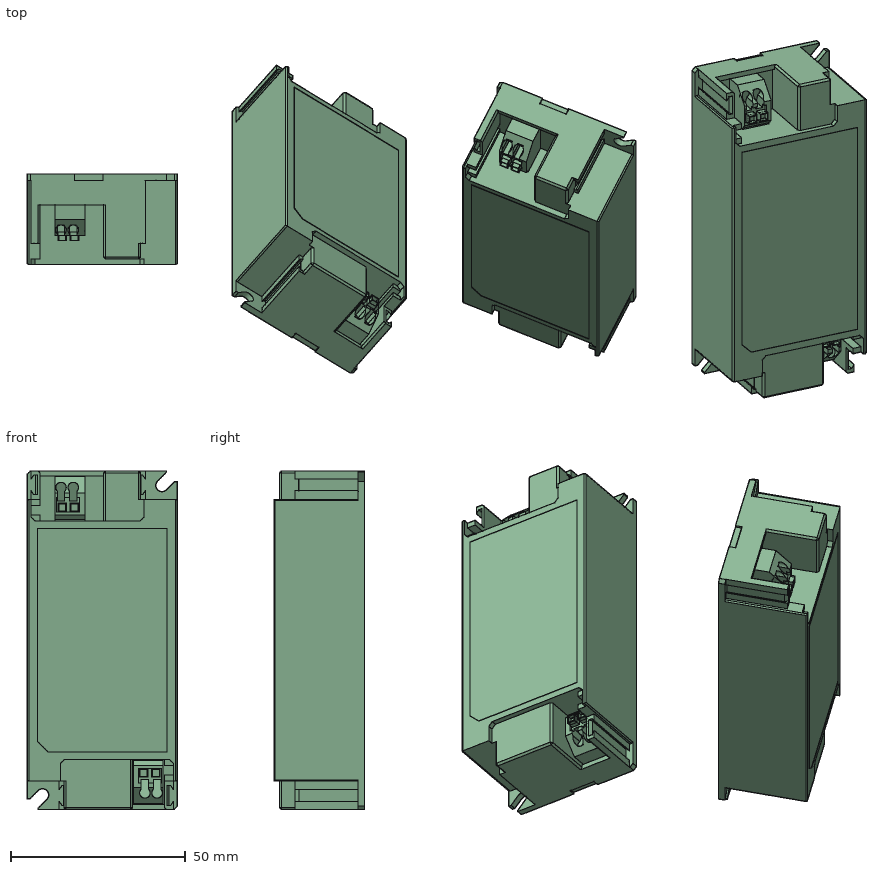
import cadquery as cq

WIDTH = 43.0
DEPTH = 26.0
LENGTH = 97.0
BACK_Y = DEPTH / 2
FRONT_Y = -DEPTH / 2
END_Z = LENGTH / 2
SIDE_X = WIDTH / 2

PLATE_THICKNESS = 1.9
PLATE_FRONT_Y = BACK_Y - PLATE_THICKNESS
PLATE_CORNER = 1.0
BODY_END_Z = 40.3
BODY_EDGE_X = 0.55
BODY_EDGE_Y = BODY_EDGE_X / 2
BODY_END_BEVEL_X = 0.5
BODY_END_BEVEL_Z = 0.25

SLOT_WIDTH = 3.5
SLOT_X = 17.1
SLOT_Z = 44.3
SLOT_REACH = 12.0
SLOT_TILT = -45
SLOT_MOUTH_CUT = 3.1

NOTCH_X = (-8.0, 0.25)
NOTCH_DEPTH = 0.6

TOWER_X = (-20.4, 12.35)
TOWER_FRONT_Y = -6.95
BLOCK_RIGHT_X = 11.0
BLOCK_FRONT_Y = -11.4
BLOCK_EDGE = 0.6

BAY_LEFT_X = -17.8
BAY_RIM_EDGE = 0.6
BAY_BACK_Y = 4.1
BAY_FLOOR_Z = 34.1
LIP_HEIGHT = 1.5
LIP_UNDERCUT = 1.0

FRAME_X = (-20.4, 12.0)
FRAME_CORNER = 1.2

TONGUE_BOTTOM_Z = 38.6
CORNER_BLOCK_TOP_Z = 35.8

GROOVE_CENTER_Z = 44.45
GROOVE_MOUTH = 3.3
GROOVE_FLOOR = 5.6
GROOVE_UNDERCUT_DEPTH = 0.8
GROOVE_DEPTH = 1.3
GROOVE_END_DEPTH = 1.9
GROOVE_RAMP = 1.1

TERMINAL_WIDTH = 8.5
TERMINAL_TOP_Z = 46.8
TERMINAL_SLOPE_Y = -0.1
TERMINAL_FACE_Y = -4.7
TERMINAL_FACE_Z = (35.8, 42.1)
TERMINAL_BOTTOM_Z = 34.5
TERMINAL_CHIN_Y = -3.4
POLE_COUNT = 2
POLE_PITCH = 3.5
RELEASE_OFFSET_X = 1.7
RELEASE_RADIUS = 1.5
RELEASE_Z = 43.7
RELEASE_SLOT_WIDTH = 2.1
RELEASE_SLOT_BOTTOM_Z = 39.9
RELEASE_TOP_Y = -1.7
RELEASE_BACK_Y = 0.5
RECESS_X = (0.4, 7.0)
RECESS_Z = (36.7, 40.9)
RECESS_DEPTH = 1.0
ENTRY_OFFSET_X = 2.05
ENTRY_SIZE = 2.5
ENTRY_BORE = 2.0
ENTRY_FRONT_Y = -6.1
ENTRY_BORE_DEPTH = 1.4

UPPER_BAY_RIGHT_X = 0.4
LOWER_BAY_RIGHT_X = -8.7
UPPER_TERMINAL_X = -13.5
LOWER_TERMINAL_X = -17.4

LABEL_X = (-18.5, 18.5)
LABEL_Z = (-32.0, 32.0)
LABEL_CUT = 3.0
LABEL_DEPTH = 0.1


def box(x_range, y_range, z_range):
    """Box spanning three (low, high) ranges."""
    spans = (x_range, y_range, z_range)
    sizes = [high - low for low, high in spans]
    corner = tuple(low for low, high in spans)
    return cq.Workplane("XY").box(*sizes, centered=False).translate(corner)


def prism_along_y(outline, y_range):
    """Extrude an (x, z) outline between two Y positions."""
    front, back = y_range
    plane = cq.Workplane("XZ", origin=(0, back, 0))
    return plane.polyline(outline).close().extrude(back - front)


def half_turn(shape):
    """Turn an upper-end feature round the Y axis onto the lower end."""
    return shape.rotate((0, 0, 0), (0, 1, 0), 180)


def main_body():
    bevel_x = SIDE_X - BODY_END_BEVEL_X
    bevel_z = BODY_END_Z - BODY_END_BEVEL_Z
    outline = [
        (-bevel_x, BODY_END_Z),
        (bevel_x, BODY_END_Z),
        (SIDE_X, bevel_z),
        (SIDE_X, -bevel_z),
        (bevel_x, -BODY_END_Z),
        (-bevel_x, -BODY_END_Z),
        (-SIDE_X, -bevel_z),
        (-SIDE_X, bevel_z),
    ]
    body = prism_along_y(outline, (FRONT_Y, BACK_Y))
    return body.edges("|Z and <Y").chamfer(BODY_EDGE_Y, BODY_EDGE_X)


def mounting_plate():
    plate = box((-SIDE_X, SIDE_X), (PLATE_FRONT_Y, BACK_Y), (-END_Z, END_Z))
    plate = plate.edges("|Y").chamfer(PLATE_CORNER)
    slot = foot_slot()
    return plate.cut(slot).cut(half_turn(slot))


def foot_slot():
    y_range = (PLATE_FRONT_Y, BACK_Y)
    radius = SLOT_WIDTH / 2
    round_end = cq.Workplane("XZ", origin=(0, BACK_Y, 0)).circle(radius).extrude(PLATE_THICKNESS)
    throat = box((0, SLOT_REACH), y_range, (-radius, radius))
    slot = round_end.union(throat).rotate((0, 0, 0), (0, 1, 0), SLOT_TILT)
    slot = slot.translate((SLOT_X, 0, SLOT_Z))
    mouth = box((SIDE_X - SLOT_MOUTH_CUT, SIDE_X), y_range, (END_Z - SLOT_MOUTH_CUT, END_Z))
    return slot.union(mouth)


def clip_groove(wall_x, inward):
    """Dovetail groove along Y whose floor ramps deeper at its open front end."""
    def outline(floor_depth):
        half_mouth = GROOVE_MOUTH / 2
        half_floor = GROOVE_FLOOR / 2
        corners = [
            (0, half_mouth),
            (GROOVE_UNDERCUT_DEPTH, half_floor),
            (floor_depth, half_floor),
            (floor_depth, -half_floor),
            (GROOVE_UNDERCUT_DEPTH, -half_floor),
            (0, -half_mouth),
        ]
        return [(wall_x + inward * depth, GROOVE_CENTER_Z + height) for depth, height in corners]

    groove = prism_along_y(outline(GROOVE_DEPTH), (TOWER_FRONT_Y, PLATE_FRONT_Y))
    ramp_profile = [
        (wall_x + inward * GROOVE_DEPTH, TOWER_FRONT_Y + GROOVE_RAMP),
        (wall_x + inward * GROOVE_DEPTH, TOWER_FRONT_Y),
        (wall_x + inward * GROOVE_END_DEPTH, TOWER_FRONT_Y),
    ]
    ramp_plane = cq.Workplane("XY", origin=(0, 0, GROOVE_CENTER_Z - GROOVE_FLOOR / 2))
    ramp = ramp_plane.polyline(ramp_profile).close().extrude(GROOVE_FLOOR)
    return groove.union(ramp)


def end_tower():
    """Tower behind and beside the bay, with a clip groove in each side."""
    tower = box(TOWER_X, (TOWER_FRONT_Y, BACK_Y), (BAY_FLOOR_Z, END_Z))
    left_x, right_x = TOWER_X
    return tower.cut(clip_groove(left_x, 1)).cut(clip_groove(right_x, -1))


def tower_block(bay_right_x):
    """Solid block that closes the bay on its right and stands forward of the tower."""
    y_range = (BLOCK_FRONT_Y, BAY_BACK_Y + LIP_UNDERCUT)
    block = box((bay_right_x, BLOCK_RIGHT_X), y_range, (BAY_FLOOR_Z, END_Z))
    return block.edges("(<Y and (<X or >X or >Z)) or (>Z and (<X or >X))").chamfer(BLOCK_EDGE)


def frame_recess():
    recess = box(FRAME_X, (FRONT_Y, BLOCK_FRONT_Y), (BAY_FLOOR_Z, BODY_END_Z))
    return recess.edges("|Y and <Z").chamfer(FRAME_CORNER)


def wiring_bay(bay_right_x):
    """Space for the terminal and the bevelled side of the block, with a window under the left wall."""
    x_range = (BAY_LEFT_X, bay_right_x + BLOCK_EDGE)
    undercut_y = BAY_BACK_Y + LIP_UNDERCUT
    bay = box(x_range, (FRONT_Y, BAY_BACK_Y), (BAY_FLOOR_Z, END_Z))
    undercut = box(x_range, (BAY_BACK_Y, undercut_y), (BAY_FLOOR_Z, END_Z - LIP_HEIGHT))
    window_x = (FRAME_X[0], BAY_LEFT_X)
    window = box(window_x, (FRONT_Y, undercut_y), (CORNER_BLOCK_TOP_Z, TONGUE_BOTTOM_Z))
    rim_outline = [
        (BAY_LEFT_X, END_Z),
        (BAY_LEFT_X - BAY_RIM_EDGE, END_Z),
        (BAY_LEFT_X, END_Z - BAY_RIM_EDGE),
    ]
    rim = prism_along_y(rim_outline, (TOWER_FRONT_Y, BAY_BACK_Y))
    return bay.union(undercut).union(window).union(rim)


def back_notch():
    return box(NOTCH_X, (PLATE_FRONT_Y, BACK_Y), (END_Z - NOTCH_DEPTH, END_Z))


def terminal_body():
    face_bottom_z, face_top_z = TERMINAL_FACE_Z
    rear_y = BAY_BACK_Y + LIP_UNDERCUT
    profile = [
        (rear_y, TERMINAL_TOP_Z),
        (TERMINAL_SLOPE_Y, TERMINAL_TOP_Z),
        (TERMINAL_FACE_Y, face_top_z),
        (TERMINAL_FACE_Y, face_bottom_z),
        (TERMINAL_CHIN_Y, TERMINAL_BOTTOM_Z),
        (TERMINAL_CHIN_Y, BAY_FLOOR_Z),
        (rear_y, BAY_FLOOR_Z),
    ]
    return cq.Workplane("YZ").polyline(profile).close().extrude(TERMINAL_WIDTH)


def release_opening(center_x):
    """Keyhole for the tool that releases one wire; its back leans rearward on the way down."""
    half_slot = RELEASE_SLOT_WIDTH / 2
    slot_x = (center_x - half_slot, center_x + half_slot)
    slot = box(slot_x, (TERMINAL_FACE_Y, RELEASE_BACK_Y), (RELEASE_SLOT_BOTTOM_Z, RELEASE_Z))
    plane = cq.Workplane("XZ", origin=(center_x, RELEASE_BACK_Y, RELEASE_Z))
    keyhole = slot.union(plane.circle(RELEASE_RADIUS).extrude(RELEASE_BACK_Y - TERMINAL_FACE_Y))
    top_z = RELEASE_Z + RELEASE_RADIUS
    reach_profile = [
        (TERMINAL_FACE_Y, top_z),
        (RELEASE_TOP_Y, top_z),
        (RELEASE_BACK_Y, RELEASE_SLOT_BOTTOM_Z),
        (TERMINAL_FACE_Y, RELEASE_SLOT_BOTTOM_Z),
    ]
    reach_plane = cq.Workplane("YZ", origin=(center_x, 0, 0))
    reach = reach_plane.polyline(reach_profile).close().extrude(RELEASE_RADIUS, both=True)
    return keyhole.intersect(reach)


def wire_entry(center_x):
    """Square collar that takes one wire."""
    bottom_z = RECESS_Z[0]
    center_z = bottom_z + ENTRY_SIZE / 2
    plane = cq.Workplane("XZ", origin=(center_x, ENTRY_FRONT_Y, center_z))
    collar = plane.rect(ENTRY_SIZE, ENTRY_SIZE).extrude(-(TERMINAL_FACE_Y + RECESS_DEPTH - ENTRY_FRONT_Y))
    bore = plane.rect(ENTRY_BORE, ENTRY_BORE).extrude(-ENTRY_BORE_DEPTH)
    return collar.cut(bore)


def terminal(left_x):
    block = terminal_body()
    block = block.cut(box(RECESS_X, (TERMINAL_FACE_Y, TERMINAL_FACE_Y + RECESS_DEPTH), RECESS_Z))
    for pole in range(POLE_COUNT):
        shift = pole * POLE_PITCH
        block = block.cut(release_opening(RELEASE_OFFSET_X + shift))
        block = block.union(wire_entry(ENTRY_OFFSET_X + shift))
    return block.translate((left_x, 0, 0))


def label_panel():
    panel = box(LABEL_X, (FRONT_Y, FRONT_Y + LABEL_DEPTH), LABEL_Z)
    return panel.edges("|Y and <X and <Z").chamfer(LABEL_CUT)


def upper_end(housing, bay_right_x, terminal_x):
    """Shape the +Z end of the housing."""
    housing = housing.union(end_tower())
    housing = housing.cut(frame_recess())
    housing = housing.cut(wiring_bay(bay_right_x))
    housing = housing.union(tower_block(bay_right_x))
    housing = housing.cut(back_notch())
    return housing.union(terminal(terminal_x))


housing = main_body().union(mounting_plate())
housing = upper_end(housing, UPPER_BAY_RIGHT_X, UPPER_TERMINAL_X)
housing = half_turn(housing)
housing = upper_end(housing, LOWER_BAY_RIGHT_X, LOWER_TERMINAL_X)
housing = half_turn(housing)
result = housing.cut(label_panel())